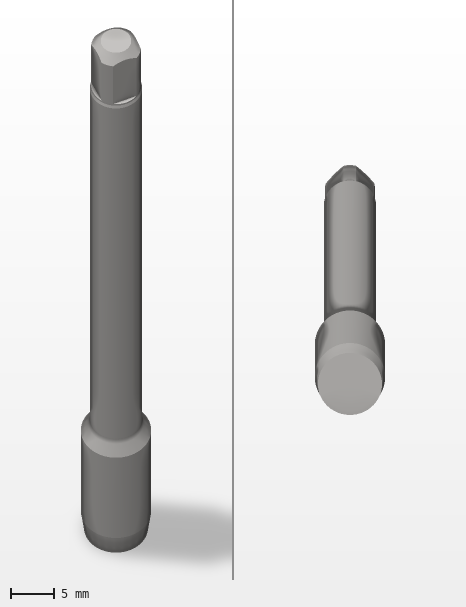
import cadquery as cq
import math

total_height = 90.1
lead_height = 3.15
head_height = 18.0
shank_top = 81.4
shoulder_top = 81.7
flats_bottom = 82.0

head_diameter = 8.1
lead_tip_diameter = 7.4
shank_diameter = 6.0
drive_diameter = 5.8
drive_tip_diameter = 3.5

square_width = 5.0

cone_angle = math.radians(30)
cone_fillet = 1.1

head_radius = head_diameter / 2
lead_tip_radius = lead_tip_diameter / 2
shank_radius = shank_diameter / 2
drive_radius = drive_diameter / 2
drive_tip_radius = drive_tip_diameter / 2

tip_chamfer_bottom = total_height - (drive_radius - drive_tip_radius)

cone_corner_height = head_height + (head_radius - shank_radius) / math.tan(cone_angle)
blend_top = cone_corner_height + cone_fillet * math.tan(cone_angle / 2)


def blend_point(angle):
    """Point (radius, height) on the blend arc where its slope is angle from the axis."""
    radius = shank_radius + cone_fillet * (1 - math.cos(angle))
    height = blend_top - cone_fillet * math.sin(angle)
    return radius, height


def turn(profile):
    """Close a half profile and revolve it about Z."""
    return profile.close().revolve(360, (0, 0), (0, 1))


def make_head():
    """Thick lower end: tapered lead below a straight cylinder."""
    return turn(
        cq.Workplane("XZ")
        .lineTo(lead_tip_radius, 0)
        .lineTo(head_radius, lead_height)
        .lineTo(head_radius, head_height)
        .lineTo(0, head_height)
    )


def make_shank_blank():
    """Turned shank: cone blended into a long cylinder, shoulder and chamfered tip."""
    return turn(
        cq.Workplane("XZ")
        .moveTo(0, head_height)
        .lineTo(head_radius, head_height)
        .lineTo(*blend_point(cone_angle))
        .threePointArc(blend_point(cone_angle / 2), blend_point(0))
        .lineTo(shank_radius, shank_top)
        .lineTo(drive_radius, shoulder_top)
        .lineTo(drive_radius, tip_chamfer_bottom)
        .lineTo(drive_tip_radius, total_height)
        .lineTo(0, total_height)
    )


def cut_drive_square(shank):
    """Mill four flats around the upper end of the shank."""
    waste = (
        cq.Workplane("XY", origin=(0, 0, flats_bottom))
        .rect(shank_diameter, shank_diameter)
        .rect(square_width, square_width)
        .extrude(total_height - flats_bottom)
    )
    return shank.cut(waste)


head = make_head()
shank = cut_drive_square(make_shank_blank())

result = cq.Compound.makeCompound([head.val(), shank.val()])